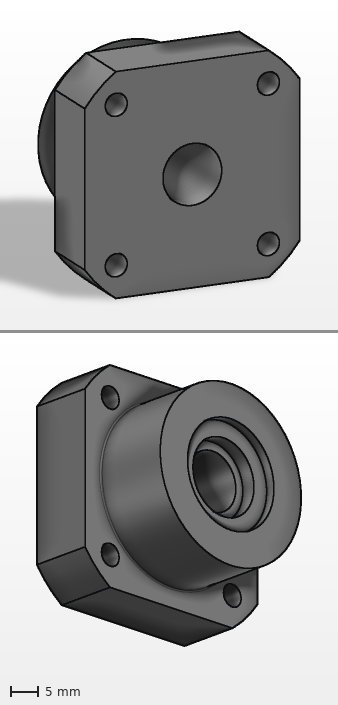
import cadquery as cq
import math

flange_side = 44.0
flange_thickness = 13.0
flange_corner_diameter = 54.0

boss_length = 16.0
boss_diameter = 36.0
boss_root_fillet = 0.3

recess_diameter = 22.05
recess_depth = 2.0
step_diameter = 15.58
step_depth = 3.0
bore_diameter = 12.0

mount_hole_diameter = 4.5
mount_circle_diameter = 44.0

total_length = boss_length + flange_thickness
hole_offset = mount_circle_diameter / 2 * math.cos(math.radians(45))


def cylinder_along_x(diameter, start, length, y=0.0, z=0.0):
    """Solid cylinder parallel to X, beginning at X = start."""
    return (
        cq.Workplane("YZ", origin=(start, y, z))
        .circle(diameter / 2)
        .extrude(length)
    )


def make_flange():
    square = (
        cq.Workplane("YZ", origin=(boss_length, 0, 0))
        .rect(flange_side, flange_side)
        .extrude(flange_thickness)
    )
    corner_disc = cylinder_along_x(flange_corner_diameter, boss_length, flange_thickness)
    return square.intersect(corner_disc)


def add_boss(body):
    with_boss = body.union(cylinder_along_x(boss_diameter, 0, boss_length))
    root_centre = cq.NearestToPointSelector((boss_length, 0, 0))
    return with_boss.edges(root_centre).fillet(boss_root_fillet)


def cut_stepped_bore(body):
    body = body.cut(cylinder_along_x(recess_diameter, 0, recess_depth))
    body = body.cut(cylinder_along_x(step_diameter, recess_depth, step_depth))
    return body.cut(cylinder_along_x(bore_diameter, 0, total_length))


def cut_mount_holes(body):
    for y in (-hole_offset, hole_offset):
        for z in (-hole_offset, hole_offset):
            hole = cylinder_along_x(mount_hole_diameter, boss_length, flange_thickness, y, z)
            body = body.cut(hole)
    return body


result = cut_mount_holes(cut_stepped_bore(add_boss(make_flange())))